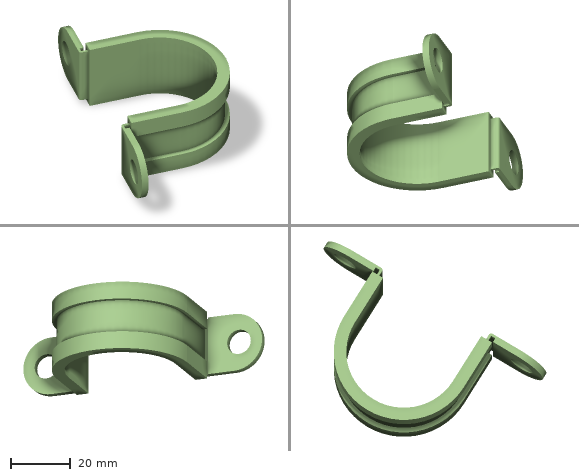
import cadquery as cq

overall_length = 85.8
cushion_height = 23.4
outer_radius = 23.4
cushion_wall = 4.2
leg_length = 18.1

channel_width = 11.5
channel_depth = 1.6

strap_thickness = 0.9
strap_height = 20.0
tab_front_y = -21.1
tab_thickness = 2.3
tab_end_radius = strap_height / 2
hole_diameter = 8.5
hole_to_tab_end = 8.3

tab_end_x = overall_length / 2
strap_outer_radius = outer_radius - channel_depth
strap_inner_x = strap_outer_radius - strap_thickness


def solid_arch(radius, leg, height):
    """A half disc with straight legs, centred on the XY plane."""
    return (
        cq.Workplane("XY")
        .moveTo(-radius, -leg)
        .lineTo(-radius, 0)
        .threePointArc((0, radius), (radius, 0))
        .lineTo(radius, -leg)
        .close()
        .extrude(height / 2, both=True)
    )


def u_band(radius, wall, leg, height):
    """A U-shaped band of constant wall thickness."""
    return solid_arch(radius, leg, height).cut(solid_arch(radius - wall, leg, height))


def make_cushion():
    band = u_band(outer_radius, cushion_wall, leg_length, cushion_height)
    channel = u_band(outer_radius, channel_depth, leg_length, channel_width)
    return band.cut(channel)


def make_right_foot():
    """The strap end leaving the leg, bent outward into a thicker rounded tab."""
    tab_back_y = tab_front_y + tab_thickness
    lip_back_y = tab_front_y + strap_thickness
    foot = (
        cq.Workplane("XY")
        .moveTo(strap_inner_x, -leg_length)
        .lineTo(strap_inner_x, lip_back_y)
        .radiusArc((strap_outer_radius, tab_front_y), -strap_thickness)
        .lineTo(tab_end_x, tab_front_y)
        .lineTo(tab_end_x, tab_back_y)
        .lineTo(outer_radius, tab_back_y)
        .lineTo(outer_radius, lip_back_y)
        .lineTo(strap_outer_radius, lip_back_y)
        .lineTo(strap_outer_radius, -leg_length)
        .close()
        .extrude(strap_height / 2, both=True)
    )
    round_center_x = tab_end_x - tab_end_radius
    tab_outline = (
        cq.Workplane("XZ")
        .moveTo(strap_inner_x, -tab_end_radius)
        .lineTo(round_center_x, -tab_end_radius)
        .threePointArc((tab_end_x, 0), (round_center_x, tab_end_radius))
        .lineTo(strap_inner_x, tab_end_radius)
        .close()
        .extrude(-tab_front_y)
    )
    hole = (
        cq.Workplane("XZ")
        .center(tab_end_x - hole_to_tab_end, 0)
        .circle(hole_diameter / 2)
        .extrude(-tab_front_y)
    )
    return foot.intersect(tab_outline).cut(hole)


right_foot = make_right_foot()
left_foot = right_foot.mirror("YZ")
result = make_cushion().union(right_foot).union(left_foot)